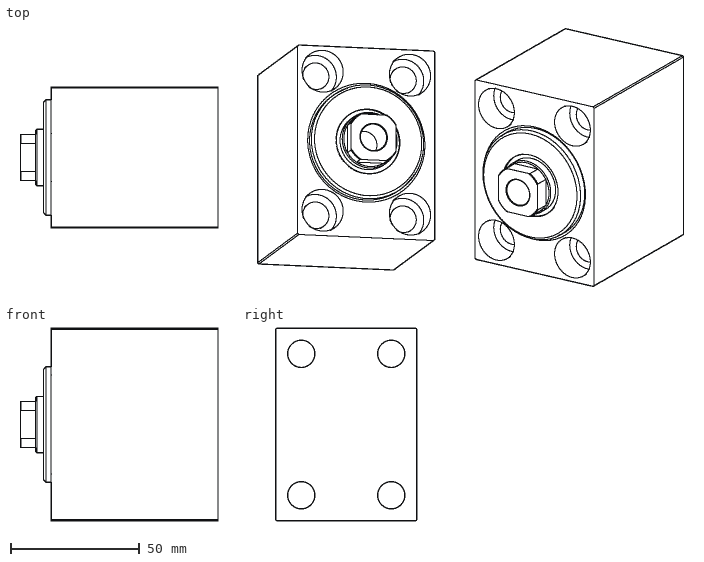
import cadquery as cq
import math


housing_length = 65.0
housing_width = 55.0
housing_height = 75.0
housing_edge_chamfer = 0.5

mount_spacing_y = 35.0
mount_spacing_z = 55.0
mount_hole_diameter = 10.5
mount_bore_diameter = 16.5
mount_bore_depth = 11.0

gland_diameter = 45.0
gland_protrusion = 3.0
gland_seat_depth = 12.0
gland_chamfer = 1.0
seat_chamfer = 1.0
wiper_recess_diameter = 25.5
wiper_recess_depth = 1.0

rod_diameter = 22.0
rod_shoulder_protrusion = 6.0
rod_shoulder_chamfer = 0.5
rod_tip_protrusion = 12.0
rod_tip_diameter = rod_diameter - 2 * rod_shoulder_chamfer
rod_tip_chamfer = 0.25
rod_across_flats = 18.0
rod_hole_diameter = 10.5
rod_hole_chamfer = 0.25
rod_hole_depth = 16.0
drill_point_angle = 118.0


def cylinder_x(diameter, x_start, x_end):
    """Cylinder on the X axis between two X positions."""
    return cq.Workplane("YZ").workplane(offset=x_start).circle(diameter / 2).extrude(x_end - x_start)


def make_housing():
    block = (
        cq.Workplane("YZ")
        .rect(housing_width, housing_height)
        .extrude(housing_length)
        .edges("|X")
        .chamfer(housing_edge_chamfer)
    )
    seat = cylinder_x(gland_diameter, 0, gland_seat_depth)
    mount_centres = cq.Workplane("YZ").rect(mount_spacing_y, mount_spacing_z, forConstruction=True).vertices()
    mount_holes = mount_centres.circle(mount_hole_diameter / 2).extrude(housing_length)
    mount_bores = mount_centres.circle(mount_bore_diameter / 2).extrude(mount_bore_depth)

    mouth_radius = gland_diameter / 2 + seat_chamfer
    lead_in = cq.Workplane(
        cq.Solid.makeCone(
            mouth_radius,
            gland_diameter / 2,
            seat_chamfer,
            pnt=cq.Vector(0, 0, 0),
            dir=cq.Vector(1, 0, 0),
        )
    )
    return block.cut(seat).cut(lead_in).cut(mount_holes).cut(mount_bores)


def make_gland():
    disc = cylinder_x(gland_diameter, -gland_protrusion, gland_seat_depth)
    disc = disc.faces("<X").edges().chamfer(gland_chamfer)
    rod_bore = cylinder_x(rod_diameter, -gland_protrusion, gland_seat_depth)
    wiper_recess = cylinder_x(
        wiper_recess_diameter, -gland_protrusion, wiper_recess_depth - gland_protrusion
    )
    return disc.cut(rod_bore).cut(wiper_recess)


def make_rod():
    shank = cylinder_x(rod_diameter, -rod_shoulder_protrusion, gland_seat_depth)
    shank = shank.faces("<X").edges().chamfer(rod_shoulder_chamfer)

    tip = cylinder_x(rod_tip_diameter, -rod_tip_protrusion, -rod_shoulder_protrusion)
    tip = tip.faces("<X").edges().chamfer(rod_tip_chamfer)
    flats = (
        cq.Workplane("YZ")
        .workplane(offset=-rod_tip_protrusion)
        .rect(rod_across_flats, rod_across_flats)
        .extrude(rod_tip_protrusion - rod_shoulder_protrusion)
    )
    tip = tip.intersect(flats)

    hole_radius = rod_hole_diameter / 2
    point_depth = hole_radius / math.tan(math.radians(drill_point_angle / 2))
    hole_end = rod_hole_depth - rod_tip_protrusion
    hole = (
        cq.Workplane("XZ")
        .moveTo(-rod_tip_protrusion, 0)
        .lineTo(-rod_tip_protrusion, hole_radius + rod_hole_chamfer)
        .lineTo(-rod_tip_protrusion + rod_hole_chamfer, hole_radius)
        .lineTo(hole_end, hole_radius)
        .lineTo(hole_end + point_depth, 0)
        .close()
        .revolve(360, (0, 0, 0), (1, 0, 0))
    )
    return shank.union(tip).cut(hole)


housing = make_housing()
gland = make_gland()
rod = make_rod()

result = cq.Compound.makeCompound([housing.val(), gland.val(), rod.val()])